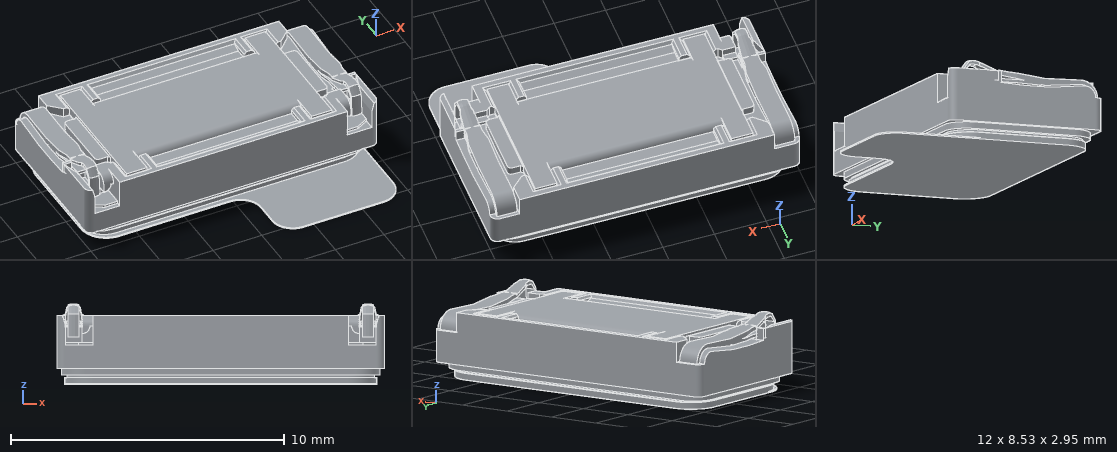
import cadquery as cq

length = 12.0
width = 6.0
total_height = 2.95
housing_top = 2.53
housing_bottom = 0.59
corner_radius = 0.29
half_length = length / 2
half_width = width / 2

flange_bottom = 0.35
flange_inset = 0.17
flange_radius = 0.85
neck_length = 11.25
neck_width = 5.28
neck_radius = 0.94

gasket_height = 0.25
gasket_length = 11.42
gasket_width = 5.5
gasket_radius = 1.03
liner_thickness = 0.05
liner_front_y = -2.94
tab_left = 0.73
tab_end = half_width - 8.53
tab_radius = 0.84

yoke_half_length = 4.22
yoke_half_width = 2.66
yoke_arm_width = 0.84
yoke_thickness = 0.36
web_half_width = 1.9
web_edge_radius = 0.35
yoke_bottom = housing_top - yoke_thickness
arm_inner_x = yoke_half_length - yoke_arm_width
rim_chamfer = 0.12

slot_half_length = 3.05
slot_end_chamfer = 0.1
slot_floor = 2.28
slot_floor_outer_y = 2.36

spring_x = 5.39
spring_thickness = 0.17
spring_width = 0.78
spring_half_width = spring_width / 2
spring_seat = 1.79
leg_outer_y = 2.87
bend_y = 2.21
bend_radius = leg_outer_y - bend_y
bend_inner_radius = bend_radius - spring_thickness
blade_top = spring_seat + bend_radius
sag_y = 0.78
sag_top = 2.41
sag_bottom = 2.15
tip_start_y = -0.97
tip_start_z = 2.62
neck_end_y = -1.58
tip_taper_length = 0.12
shoulder_half_width = 0.3
leaf_root_y = 0.66
leaf_end_y = -1.5
leaf_rise = 0.06
leaf_thickness = 0.12
crown_half_width = 0.06
crown_drop = 0.054
neck_half_width = 0.25
taper_start_y = -0.28
taper_end_y = -0.7
tip_half_width = 0.2
tip_bottom = 1.74

crest_start = (-1.75, 2.93)
crest = (-1.95, total_height)
crest_end = (-2.14, 2.9)
hook_bend = (-2.36, 2.58)
hook_end_y = -2.44
hook_inner_y = -2.32
hook_inner_bend = (-2.25, 2.55)
crest_inner_end = (-2.05, 2.78)
crest_inner_start = (-1.82, 2.78)

bay_inner_x = 4.95
bay_end_y = -1.0
bay_end_floor = 2.1
bay_floor = 2.05
bay_floor_start_y = 0.9
bay_floor_end_y = -0.12
seat_slope_y = 2.28
seat_slope_z = 2.2
side_wall = 0.31
channel_inner_x = 5.08
back_block_y = 2.34
back_block_tip_x = 4.48
block_y = -1.67
block_corner_cut = 0.12
block_step_y = -1.42
block_step_height = 0.15
block_inner_x = 4.56
slant_start_y = -1.12
slant_end_y = -1.79
wall_chamfer = 0.1
wall_chamfer_depth = 0.36

notch_inner_x = 4.68
notch_floor = 1.45
notch_step = 0.1
notch_step_y = -2.83
notch_corner_x = 0.48
notch_corner_y = 0.26
notch_back_y = -2.51
notch_edge_radius = 0.4
lip_bottom = 1.87
lip_side_top = 2.14
lip_side_x = 4.79
lip_arc_middle = (-4.87, 1.95)

boss_outer_x = 4.78
boss_half_width = 1.3
boss_top = 2.42
boss_radius = 0.15
boss_flare = 0.08


def rounded_block(size_x, size_y, bottom, top, radius):
    """Box centred on the Z axis with rounded vertical edges."""
    block = cq.Workplane("XY").workplane(offset=bottom).rect(size_x, size_y).extrude(top - bottom)
    return block.edges("|Z").fillet(radius)


def box(x1, x2, y1, y2, z1, z2):
    """Box between two opposite corners."""
    return cq.Workplane("XY").box(x2 - x1, y2 - y1, z2 - z1, centered=False).translate((x1, y1, z1))


def mirrored(shape):
    """Copy on the opposite end of the part."""
    return shape.mirror("YZ")


def h_plate():
    """Plain H plate: two arms along Y joined by a wide web."""
    plate = box(-arm_inner_x, arm_inner_x, -web_half_width, web_half_width, yoke_bottom, housing_top)
    for end in (-1, 1):
        arm = cq.Workplane("XY").workplane(offset=yoke_bottom)
        arm = arm.center(end * (yoke_half_length - yoke_arm_width / 2), 0)
        plate = plate.union(arm.rect(yoke_arm_width, 2 * yoke_half_width).extrude(yoke_thickness))
    return plate


def make_yoke():
    """H plate whose web rolls down along both long edges."""
    yoke = h_plate()
    for side in (-1, 1):
        edge = cq.selectors.NearestToPointSelector((0, side * web_half_width, housing_top))
        yoke = yoke.edges(edge).fillet(web_edge_radius)
    return yoke


def spring_blade():
    """Bent strip from its upright leg, over the bend and along the sagging blade."""
    return (
        cq.Workplane("YZ", origin=(-spring_half_width, 0, 0))
        .moveTo(leg_outer_y, spring_seat)
        .radiusArc((bend_y, blade_top), -bend_radius)
        .lineTo(sag_y, sag_top)
        .lineTo(tip_start_y, tip_start_z)
        .lineTo(tip_start_y, tip_start_z - spring_thickness)
        .lineTo(sag_y, sag_bottom)
        .lineTo(bend_y, blade_top - spring_thickness)
        .radiusArc((leg_outer_y - spring_thickness, spring_seat), bend_inner_radius)
        .close()
        .extrude(2 * spring_half_width)
    )


def tip_section(x, drop):
    """Closed outline of the hooked tip at one X, its outer surface pressed in by drop."""
    return (
        cq.Workplane("YZ", origin=(x, 0, 0))
        .moveTo(tip_start_y, tip_start_z - drop)
        .lineTo(crest_start[0], crest_start[1] - drop)
        .threePointArc((crest[0], crest[1] - drop), (crest_end[0] + drop / 2, crest_end[1] - drop))
        .lineTo(hook_bend[0] + drop, hook_bend[1])
        .lineTo(hook_end_y + drop, tip_bottom)
        .lineTo(hook_inner_y, tip_bottom)
        .lineTo(*hook_inner_bend)
        .lineTo(*crest_inner_end)
        .lineTo(*crest_inner_start)
        .lineTo(tip_start_y, tip_start_z - spring_thickness)
        .close()
    )


def spring_tip():
    """Hooked tip with a flat crown along its middle and sloping flanks."""
    tip = tip_section(-crown_half_width, 0).extrude(2 * crown_half_width)
    for side in (-1, 1):
        inner = tip_section(side * crown_half_width, 0).wires().val()
        outer = tip_section(side * shoulder_half_width, crown_drop).wires().val()
        tip = tip.union(cq.Workplane(cq.Solid.makeLoft([inner, outer], True)))
    return tip


def spring_leaf():
    """Short lower leaf that branches off under the blade."""
    return (
        cq.Workplane("YZ", origin=(-spring_half_width, 0, 0))
        .moveTo(leaf_root_y, sag_bottom)
        .lineTo(leaf_end_y, sag_bottom + leaf_rise)
        .lineTo(leaf_end_y, sag_bottom + leaf_rise + leaf_thickness)
        .lineTo(leaf_root_y, sag_bottom + leaf_thickness)
        .close()
        .extrude(2 * spring_half_width)
    )


def make_spring():
    """Spring at the -X end, narrowed in plan towards its tip."""
    right_edge = [
        (spring_half_width, half_width),
        (spring_half_width, taper_start_y),
        (shoulder_half_width, taper_end_y),
        (shoulder_half_width, tip_start_y),
        (neck_half_width, neck_end_y),
        (tip_half_width, neck_end_y - tip_taper_length),
        (tip_half_width, -half_width),
    ]
    left_edge = [(-x, y) for x, y in reversed(right_edge)]
    plan = cq.Workplane("XY").polyline(right_edge + left_edge).close().extrude(total_height)
    spring = spring_blade().union(spring_tip()).union(spring_leaf()).intersect(plan)
    return spring.translate((-spring_x, 0, 0))


def spring_bay():
    """Space around the spring and up to the yoke, open to the side and to the +Y face."""
    side = (
        cq.Workplane("YZ", origin=(-half_length, 0, 0))
        .moveTo(half_width, spring_seat)
        .lineTo(leg_outer_y - spring_thickness, spring_seat)
        .radiusArc((seat_slope_y, seat_slope_z), spring_seat - seat_slope_z)
        .lineTo(bay_floor_start_y, bay_floor)
        .lineTo(bay_floor_end_y, bay_floor)
        .lineTo(bay_end_y, bay_end_floor)
        .lineTo(-half_width, bay_end_floor)
        .lineTo(-half_width, housing_top)
        .lineTo(half_width, housing_top)
        .close()
        .extrude(half_length - yoke_half_length)
    )
    plan = (
        cq.Workplane("XY")
        .polyline(
            [
                (-half_length, half_width),
                (-bay_inner_x, half_width),
                (-bay_inner_x, back_block_y),
                (-back_block_tip_x, web_half_width),
                (-yoke_half_length, web_half_width),
                (-yoke_half_length, block_y - block_corner_cut),
                (-block_inner_x + block_corner_cut, block_y - block_corner_cut),
                (-block_inner_x, block_y),
                (-channel_inner_x, block_y),
                (-channel_inner_x, bay_end_y),
                (-half_length, bay_end_y),
            ]
        )
        .close()
        .extrude(housing_top)
    )
    step_top = bay_end_floor + block_step_height
    step = box(-channel_inner_x, -block_inner_x, block_y, block_step_y, bay_floor, step_top)
    return side.intersect(plan).cut(boss()).cut(step)


def boss():
    """Raised pad on the bay floor, flaring where it meets the yoke."""
    height = boss_top - bay_floor
    pad = box(-boss_outer_x, -yoke_half_length, -boss_half_width, boss_half_width, bay_floor, boss_top)
    pad = pad.edges("|Z and <X").fillet(boss_radius)
    flare_x = -yoke_half_length - boss_flare
    flare_y = boss_half_width + boss_flare
    flare = (
        cq.Workplane("XY", origin=(0, 0, bay_floor))
        .moveTo(-yoke_half_length, flare_y)
        .lineTo(flare_x, boss_half_width)
        .lineTo(flare_x, -boss_half_width)
        .lineTo(-yoke_half_length, -flare_y)
        .close()
        .extrude(height)
    )
    return pad.union(flare)


def tip_notch():
    """Deep channel for the spring tip, open at -Y, with a rounded lip over its back wall."""
    wall_x = -half_length + side_wall
    channel = box(wall_x, -channel_inner_x, -half_width, bay_end_y, notch_floor + notch_step, housing_top)
    mouth = box(wall_x, -notch_inner_x, -half_width, notch_back_y, notch_floor + notch_step, housing_top)
    front_step = (
        cq.Workplane("XY", origin=(0, 0, notch_floor))
        .polyline(
            [
                (wall_x, -half_width),
                (wall_x, notch_step_y + notch_corner_y),
                (wall_x + notch_corner_x, notch_step_y),
                (-notch_inner_x, notch_step_y),
                (-notch_inner_x, -half_width),
            ]
        )
        .close()
        .extrude(notch_step)
    )
    rounded_edge = (
        cq.Workplane("YZ", origin=(-channel_inner_x, 0, 0))
        .moveTo(notch_back_y, housing_top)
        .lineTo(notch_back_y, housing_top - notch_edge_radius)
        .radiusArc((notch_back_y + notch_edge_radius, housing_top), notch_edge_radius)
        .close()
        .extrude(channel_inner_x - notch_inner_x)
    )
    undercut = (
        cq.Workplane("XZ", origin=(0, notch_back_y, 0))
        .moveTo(-channel_inner_x, notch_floor + notch_step)
        .lineTo(-channel_inner_x, lip_bottom)
        .threePointArc(lip_arc_middle, (-lip_side_x, lip_side_top))
        .lineTo(-notch_inner_x, lip_side_top)
        .lineTo(-notch_inner_x, notch_floor + notch_step)
        .close()
        .extrude(-notch_edge_radius)
    )
    return channel.union(mouth).union(front_step).union(rounded_edge).union(undercut)


def wall_relief():
    """Chamfer along the thin side wall, and the slanted end where the wall meets the bay."""
    wall_x = -half_length + side_wall
    chamfer = (
        cq.Workplane("XZ", origin=(0, -half_width, 0))
        .moveTo(wall_x, housing_top)
        .lineTo(wall_x - wall_chamfer, housing_top)
        .lineTo(wall_x, housing_top - wall_chamfer_depth)
        .close()
        .extrude(-(half_width + slant_end_y))
    )
    slant = (
        cq.Workplane("XY", origin=(0, 0, housing_top))
        .moveTo(-half_length, slant_start_y)
        .lineTo(wall_x - wall_chamfer, slant_end_y)
        .lineTo(wall_x, slant_end_y)
        .lineTo(wall_x, slant_start_y)
        .close()
        .extrude(-wall_chamfer_depth)
    )
    return chamfer.union(slant)


def arm_rim(end):
    """Chamfered lead-in around one arm of the yoke pocket."""
    rim = cq.Workplane("XY", origin=(end * (yoke_half_length - yoke_arm_width / 2), 0, housing_top))
    rim = rim.rect(yoke_arm_width + 2 * rim_chamfer, 2 * (yoke_half_width + rim_chamfer))
    return rim.extrude(-rim_chamfer, taper=45)


def long_slot(side):
    """Slot between the yoke web and the long wall, with a sloping outer face and chamfered ends."""
    cross_section = (
        cq.Workplane("YZ")
        .moveTo(0, slot_floor)
        .lineTo(side * slot_floor_outer_y, slot_floor)
        .lineTo(side * yoke_half_width, housing_top - rim_chamfer)
        .lineTo(side * (yoke_half_width + rim_chamfer), housing_top)
        .lineTo(0, housing_top)
        .close()
        .extrude(slot_half_length, both=True)
    )
    floor_half_length = slot_half_length - slot_end_chamfer
    long_section = (
        cq.Workplane("XZ")
        .moveTo(-floor_half_length, slot_floor)
        .lineTo(floor_half_length, slot_floor)
        .lineTo(floor_half_length, housing_top - slot_end_chamfer)
        .lineTo(slot_half_length, housing_top)
        .lineTo(-slot_half_length, housing_top)
        .lineTo(-floor_half_length, housing_top - slot_end_chamfer)
        .close()
        .extrude(half_width, both=True)
    )
    return cross_section.intersect(long_section)


def make_housing(yoke):
    """Frame with a stepped underside, a pocket for the yoke and a spring bay at each end."""
    housing = rounded_block(length, width, housing_bottom, housing_top, corner_radius)
    flange = rounded_block(
        length - 2 * flange_inset, width - 2 * flange_inset, flange_bottom, housing_bottom, flange_radius
    )
    neck = rounded_block(neck_length, neck_width, gasket_height, flange_bottom, neck_radius)
    housing = housing.union(flange).union(neck)
    housing = housing.cut(yoke)
    housing = housing.cut(
        box(-arm_inner_x, arm_inner_x, -web_half_width, web_half_width, slot_floor, housing_top)
    )
    for side in (-1, 1):
        housing = housing.cut(long_slot(side)).cut(arm_rim(side))
    for cutter in (spring_bay(), tip_notch(), wall_relief()):
        housing = housing.cut(cutter).cut(mirrored(cutter))
    return housing


def make_liner():
    """Thin liner under the gasket, with a pull tab that sticks out past the -Y face."""
    back_y = gasket_width / 2
    sheet = box(-gasket_length / 2, gasket_length / 2, liner_front_y, back_y, 0, liner_thickness)
    sheet = sheet.edges("|Z").fillet(gasket_radius)
    tab_right = gasket_length / 2
    tab = (
        cq.Workplane("XY")
        .moveTo(tab_left - tab_radius, liner_front_y)
        .radiusArc((tab_left, liner_front_y - tab_radius), tab_radius)
        .lineTo(tab_left, tab_end + tab_radius)
        .radiusArc((tab_left + tab_radius, tab_end), -tab_radius)
        .lineTo(tab_right - tab_radius, tab_end)
        .radiusArc((tab_right, tab_end + tab_radius), -tab_radius)
        .lineTo(tab_right, 0)
        .lineTo(tab_left - tab_radius, 0)
        .close()
        .extrude(liner_thickness)
    )
    return sheet.union(tab)


def make_gasket():
    """Flat gasket together with its liner."""
    gasket = rounded_block(gasket_length, gasket_width, 0, gasket_height, gasket_radius)
    return gasket.union(make_liner())


yoke = make_yoke()
housing = make_housing(yoke)
gasket = make_gasket()
left_spring = make_spring()
springs = [left_spring, mirrored(left_spring)]

bodies = [housing, yoke, gasket, *springs]
result = cq.Compound.makeCompound([body.solids().val() for body in bodies])